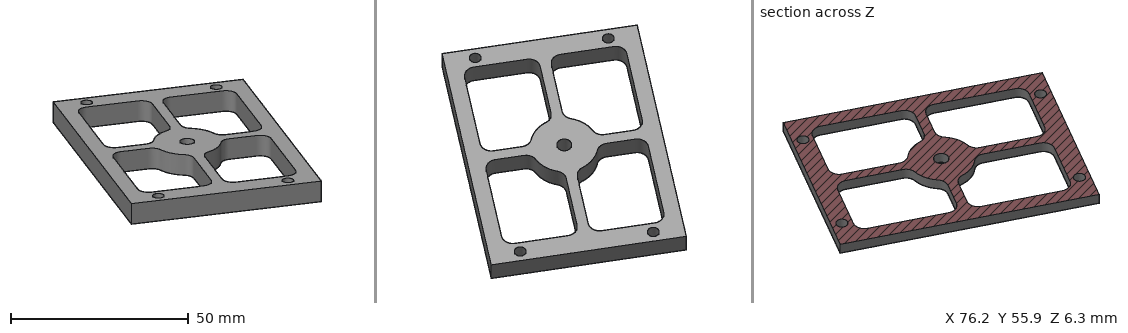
import cadquery as cq

length = 76.2
width = 55.85
thickness = 6.3

side_border = 6.3
end_border = 4.7
rib_width = 3.2
hub_diameter = 19.05
window_radius = 3.2

center_hole_diameter = 4.2
mount_hole_diameter = 3.3
mount_hole_edge_distance = 3.2
mount_hole_spacing_y = 38.1

window_length = length / 2 - side_border - rib_width / 2
window_width = width / 2 - end_border - rib_width / 2
window_center_x = (rib_width + window_length) / 2
window_center_y = (rib_width + window_width) / 2


def make_windows():
    """Four rounded windows, each with its inner corner cut back by the round hub."""
    blocks = (
        cq.Workplane("XY")
        .rarray(2 * window_center_x, 2 * window_center_y, 2, 2)
        .rect(window_length, window_width)
        .extrude(thickness)
    )
    hub = cq.Workplane("XY").circle(hub_diameter / 2).extrude(thickness)
    return blocks.cut(hub).edges("|Z").fillet(window_radius)


def make_plate():
    """Solid plate with its lower face at Z = 0."""
    return cq.Workplane("XY").box(length, width, thickness, centered=(True, True, False))


def drill_holes(body):
    """Drill the hub hole and the four mounting holes through the plate."""
    mount_hole_spacing_x = length - 2 * mount_hole_edge_distance
    return (
        body.faces(">Z")
        .workplane(origin=(0, 0, thickness))
        .hole(center_hole_diameter)
        .faces(">Z")
        .workplane(origin=(0, 0, thickness))
        .rarray(mount_hole_spacing_x, mount_hole_spacing_y, 2, 2)
        .hole(mount_hole_diameter)
    )


result = drill_holes(make_plate().cut(make_windows()))